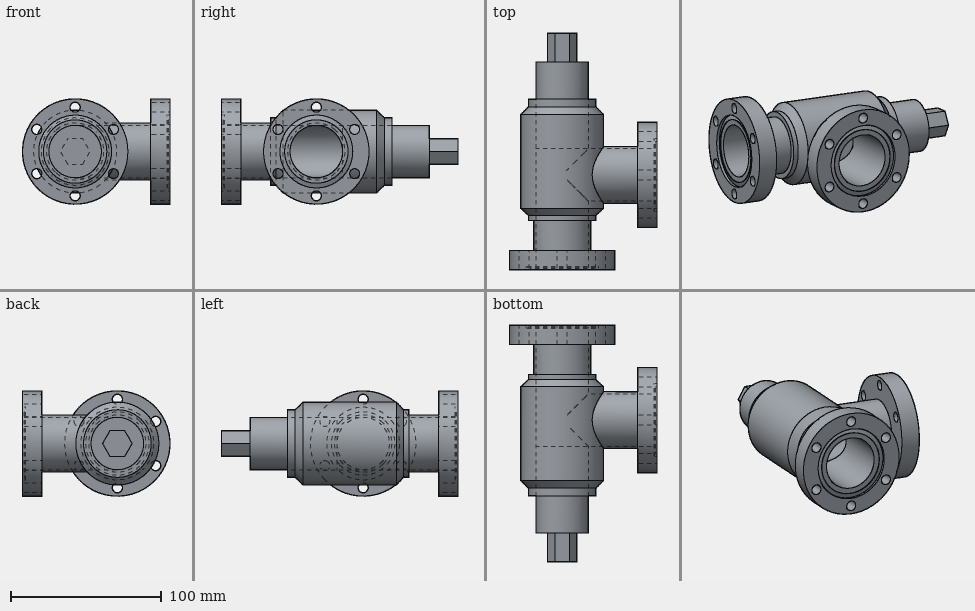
import cadquery as cq


flange_diameter = 70.0
flange_thickness = 12.9
face_distance = 63.0
bolt_circle_diameter = 58.7
bolt_hole_diameter = 6.6
bolt_hole_count = 6

recess_diameter = 48.4
recess_depth = 2.0
knife_diameter = 42.0
knife_depth = 1.0
inner_face_depth = 1.4

tube_diameter = 38.0
bore_diameter = 34.9

barrel_diameter = 55.1
collar_diameter = 44.9
barrel_front = -22.1
barrel_back = 40.0
front_taper_length = 4.7
back_taper_length = 5.2
front_collar_length = 3.5
back_collar_length = 5.0

plunger_stick_out = 24.8
hex_across_corners = 19.6
total_length = 157

bore_radius = bore_diameter / 2
collar_front = barrel_front - front_taper_length - front_collar_length
collar_back = barrel_back + back_taper_length + back_collar_length
plunger_front = bore_radius
plunger_back = collar_back + plunger_stick_out
hex_back = total_length - face_distance


def inlet_plane(distance):
    """Plane across the main axis, the given distance out from the origin, facing the inside."""
    return cq.Plane(origin=(0, -distance, 0), xDir=(1, 0, 0), normal=(0, 1, 0))


def make_seal_recess():
    """Ring cut from the inlet face, leaving a knife edge with a sloping outer side."""
    recess_radius = recess_diameter / 2
    knife_radius = knife_diameter / 2
    face = -face_distance
    profile = [
        (0, face),
        (recess_radius, face),
        (recess_radius, face + recess_depth),
        (knife_radius, face + knife_depth),
        (knife_radius, face + inner_face_depth),
        (0, face + inner_face_depth),
    ]
    return cq.Workplane("XY").polyline(profile).close().revolve(360, (0, 0, 0), (0, 1, 0))


def make_port():
    """Solid tube and flange along -Y, from the origin to the flange face, with the seal cut."""
    flange = cq.Workplane(inlet_plane(face_distance)).circle(flange_diameter / 2).extrude(flange_thickness)
    bolt_holes = (
        cq.Workplane(inlet_plane(face_distance))
        .polarArray(bolt_circle_diameter / 2, 90, 360, bolt_hole_count)
        .circle(bolt_hole_diameter / 2)
        .extrude(flange_thickness)
    )
    tube_length = face_distance - flange_thickness
    tube = cq.Workplane(inlet_plane(tube_length)).circle(tube_diameter / 2).extrude(tube_length)
    return flange.cut(bolt_holes).cut(make_seal_recess()).union(tube)


def turn_to_side(shape):
    """Turn a shape from the -Y direction to the +X direction."""
    return shape.rotate((0, 0, 0), (0, 0, 1), 90)


def make_barrel():
    """Solid barrel, tapering at both ends to a short collar."""
    barrel_radius = barrel_diameter / 2
    collar_radius = collar_diameter / 2
    profile = [
        (0, collar_front),
        (collar_radius, collar_front),
        (collar_radius, barrel_front - front_taper_length),
        (barrel_radius, barrel_front),
        (barrel_radius, barrel_back),
        (collar_radius, barrel_back + back_taper_length),
        (collar_radius, collar_back),
        (0, collar_back),
    ]
    return cq.Workplane("XY").polyline(profile).close().revolve(360, (0, 0, 0), (0, 1, 0))


def make_housing():
    """Barrel with both flanged ports, bored right through and out to the side."""
    main_bore = (
        cq.Workplane(inlet_plane(face_distance))
        .circle(bore_radius)
        .extrude(face_distance + collar_back)
    )
    side_bore = turn_to_side(
        cq.Workplane(inlet_plane(face_distance)).circle(bore_radius).extrude(face_distance)
    )
    port = make_port()
    solid_housing = make_barrel().union(port).union(turn_to_side(port))
    return solid_housing.cut(main_bore).cut(side_bore)


def make_plunger():
    """Round plunger that fills the back of the main bore and stands out behind the collar."""
    return (
        cq.Workplane(inlet_plane(-plunger_front))
        .circle(bore_radius)
        .extrude(plunger_back - plunger_front)
    )


def make_drive_hex():
    """Hexagonal drive on the back of the plunger, with corners on +X and -X."""
    return (
        cq.Workplane(inlet_plane(-plunger_back))
        .polygon(6, hex_across_corners)
        .extrude(hex_back - plunger_back)
    )


housing = make_housing()
plunger = make_plunger()
drive_hex = make_drive_hex()

result = cq.Compound.makeCompound([housing.solids().val(), plunger.val(), drive_hex.val()])